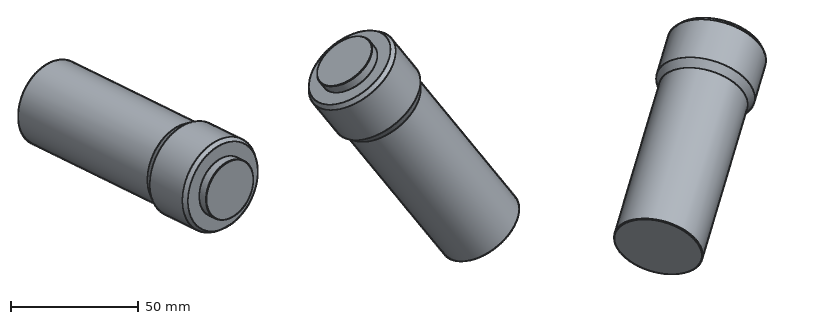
import cadquery as cq

total_length = 103.3
barrel_diameter = 36.0
collar_diameter = 40.0
spigot_diameter = 25.4
spigot_length = 4.0
collar_length = 24.3
cone_length = 3.6
collar_chamfer_length = 1.9
collar_chamfer_depth = 1.2
spigot_chamfer = 0.2
barrel_edge_chamfer = 0.3

barrel_end = -total_length / 2
spigot_end = total_length / 2
shoulder = spigot_end - spigot_length
cone_start = shoulder - collar_length

barrel_radius = barrel_diameter / 2
collar_radius = collar_diameter / 2
spigot_radius = spigot_diameter / 2

half_section = (
    cq.Workplane("XY")
    .moveTo(barrel_end, 0)
    .lineTo(barrel_end, barrel_radius - barrel_edge_chamfer)
    .lineTo(barrel_end + barrel_edge_chamfer, barrel_radius)
    .lineTo(cone_start, barrel_radius)
    .lineTo(cone_start + cone_length, collar_radius)
    .lineTo(shoulder - collar_chamfer_length, collar_radius)
    .lineTo(shoulder, collar_radius - collar_chamfer_depth)
    .lineTo(shoulder, spigot_radius)
    .lineTo(spigot_end - spigot_chamfer, spigot_radius)
    .lineTo(spigot_end, spigot_radius - spigot_chamfer)
    .lineTo(spigot_end, 0)
    .close()
)

result = half_section.revolve(360, (0, 0, 0), (1, 0, 0))